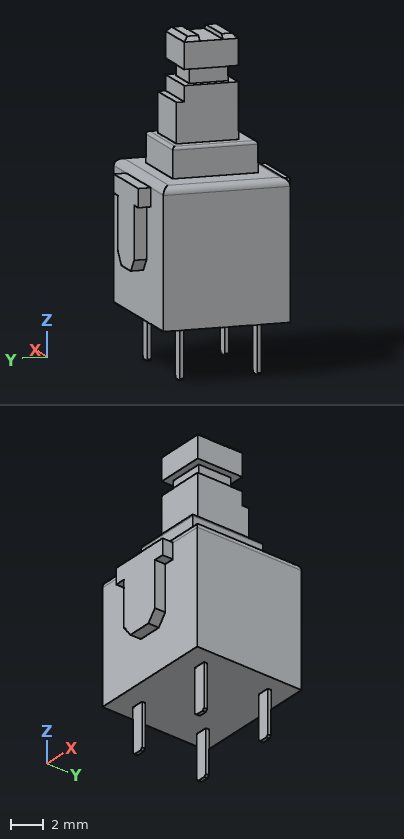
import cadquery as cq


total_height = 21.0
body_x, body_y, body_height = 9.2, 8.2, 9.0
body_round = 0.5
pin_length = 3.4
pin_width, pin_thickness = 0.88, 0.25
pin_pitch_x, pin_pitch_y = 6.0, 5.0
pin_tip_chamfer = 0.15

collar_x, collar_y, collar_height = 5.0, 5.5, 2.0
collar_round = 0.2

plunger_width = 3.5
stem_extra_y = 0.5
shoulder_height = 1.0
neck_width, neck_height = 2.5, 1.0
head_height = 2.0
head_chamfer = 0.3
slot_width = 1.5

overall_y = 9.8
tab_head_width, tab_head_height = 4.5, 1.2
tab_width, tab_height = 3.0, 5.42
tab_taper_x, tab_taper_height = 0.63, 0.8

body_top = pin_length + body_height
collar_top = body_top + collar_height
head_bottom = total_height - head_height
neck_bottom = head_bottom - neck_height
stem_top = neck_bottom - shoulder_height
tab_top = body_top - body_round


def block(size_x, size_y, bottom, top):
    """Box centred on the Z axis between two levels."""
    height = top - bottom
    box = cq.Workplane("XY").box(size_x, size_y, height, centered=(True, True, False))
    return box.translate((0, 0, bottom))


def make_housing():
    body = block(body_x, body_y, pin_length, body_top).faces(">Z").edges().fillet(body_round)
    collar = block(collar_x, collar_y, body_top, collar_top).faces(">Z").edges().fillet(collar_round)
    return body.union(collar)


def make_plunger():
    stem = block(plunger_width, plunger_width + stem_extra_y, collar_top, stem_top)
    stem = stem.translate((0, stem_extra_y / 2, 0))
    shoulder = block(plunger_width, plunger_width, stem_top, neck_bottom)
    neck = block(neck_width, neck_width, neck_bottom, head_bottom)
    head = block(plunger_width, plunger_width, head_bottom, total_height)
    head = head.faces(">Z").edges().chamfer(head_chamfer)
    slot = block(plunger_width, slot_width, total_height - head_chamfer, total_height)
    return stem.union(shoulder).union(neck).union(head.cut(slot))


def make_tabs():
    """One T-profile running through the housing forms the tabs on both Y sides."""
    half_head = tab_head_width / 2
    half_width = tab_width / 2
    half_tip = half_width - tab_taper_x
    step = tab_top - tab_head_height
    tip = tab_top - tab_height
    right_side = [
        (half_head, tab_top),
        (half_head, step),
        (half_width, step),
        (half_width, tip + tab_taper_height),
        (half_tip, tip),
    ]
    left_side = [(-x, z) for x, z in reversed(right_side)]
    profile = cq.Workplane("XZ").polyline(right_side + left_side).close()
    return profile.extrude(overall_y / 2, both=True)


def make_pins():
    pin = block(pin_width, pin_thickness, 0, pin_length)
    pin = pin.faces("<Z").edges("|Y").chamfer(pin_tip_chamfer)
    pins = cq.Workplane("XY")
    for x in (-pin_pitch_x / 2, pin_pitch_x / 2):
        for y in (-pin_pitch_y / 2, pin_pitch_y / 2):
            pins = pins.add(pin.translate((x, y, 0)))
    return pins.combine()


result = make_housing().union(make_tabs()).union(make_plunger()).union(make_pins())